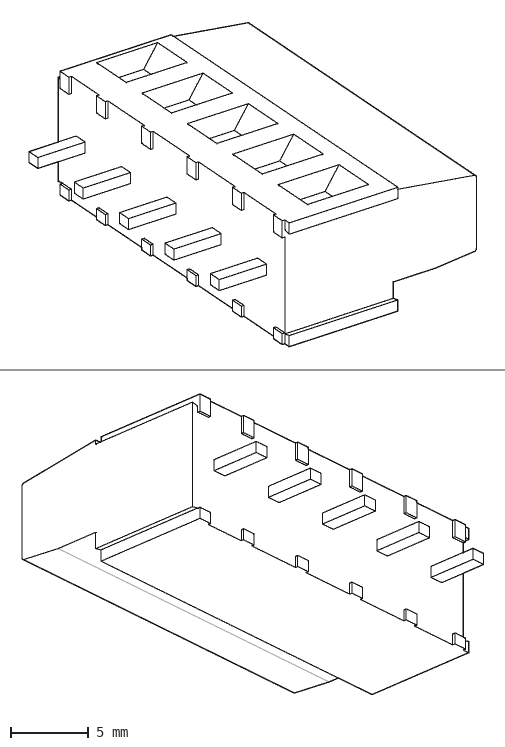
import cadquery as cq


way_count = 5
pitch = 5.08
body_width = way_count * pitch

body_height = 9.0
body_depth = 15.0
base_depth = 8.5
nose_top_at_step = 8.58
nose_top_at_back = 7.7
nose_bottom_flat = 1.9
nose_bottom_at_back = 2.2
nose_bottom_bend_y = 11.8
back_edge_radius = 0.2

rail_width = 0.5
rail_tip_thickness = 0.72
rail_taper = 0.1

foot_width = 1.0
foot_length = 0.2
top_foot_height = 1.25
bottom_foot_height = 0.8

pin_width = 1.0
pin_thickness = 0.8
pin_length = 3.7

pocket_mouth_width = 3.3
pocket_mouth_front_y = 2.4
pocket_mouth_back_y = 7.17
pocket_floor_width = 2.8
pocket_floor_front_y = 3.24
pocket_floor_back_y = 5.9
pocket_depth = 1.45


def block(x_start, y_start, z_start, x_size, y_size, z_size):
    """Box given by its lowest corner and its sizes."""
    return cq.Workplane("XY").box(x_size, y_size, z_size, centered=False).translate((x_start, y_start, z_start))


def make_housing():
    """Stepped housing with a tapered nose at the back."""
    profile = [
        (0, 0),
        (base_depth, 0),
        (base_depth, nose_bottom_flat),
        (nose_bottom_bend_y, nose_bottom_flat),
        (body_depth, nose_bottom_at_back),
        (body_depth, nose_top_at_back),
        (base_depth, nose_top_at_step),
        (base_depth, body_height),
        (0, body_height),
    ]
    housing = cq.Workplane("YZ").polyline(profile).close().extrude(body_width)
    return housing.faces(">Y").edges("|X").fillet(back_edge_radius)


def make_rails(x_start):
    """Bottom and top rails whose inner faces slope slightly across their width."""
    profile = [
        (x_start, 0),
        (x_start + rail_width, 0),
        (x_start + rail_width, rail_tip_thickness + rail_taper),
        (x_start, rail_tip_thickness),
    ]
    bottom = cq.Workplane("XZ").polyline(profile).close().extrude(-base_depth)
    top = bottom.mirror("XY", (0, 0, body_height / 2))
    return bottom.union(top)


def make_foot_pair(x_start):
    """Bottom and top feet standing out from the front face."""
    bottom = block(x_start, -foot_length, 0, foot_width, foot_length, bottom_foot_height)
    top = block(x_start, -foot_length, body_height - top_foot_height, foot_width, foot_length, top_foot_height)
    return bottom.union(top)


def make_pin(center_x):
    pin_z = (body_height - pin_thickness) / 2
    return block(center_x - pin_width / 2, -pin_length, pin_z, pin_width, pin_length, pin_thickness)


def make_pocket(center_x):
    """Pocket narrowing from its mouth to a smaller floor set towards the front."""
    mouth_y = (pocket_mouth_front_y + pocket_mouth_back_y) / 2
    floor_y = (pocket_floor_front_y + pocket_floor_back_y) / 2
    return (
        cq.Workplane("XY", origin=(center_x, mouth_y, body_height))
        .rect(pocket_mouth_width, pocket_mouth_back_y - pocket_mouth_front_y)
        .workplane(offset=-pocket_depth)
        .center(0, floor_y - mouth_y)
        .rect(pocket_floor_width, pocket_floor_back_y - pocket_floor_front_y)
        .loft(ruled=True)
    )


result = make_housing().cut(make_rails(0)).union(make_rails(body_width))

inner_foot_starts = [boundary * pitch - foot_width / 2 for boundary in range(1, way_count)]
for foot_start in [rail_width, *inner_foot_starts, body_width - foot_width]:
    result = result.union(make_foot_pair(foot_start))

for way in range(way_count):
    way_x = (way + 0.5) * pitch
    result = result.union(make_pin(way_x)).cut(make_pocket(way_x))